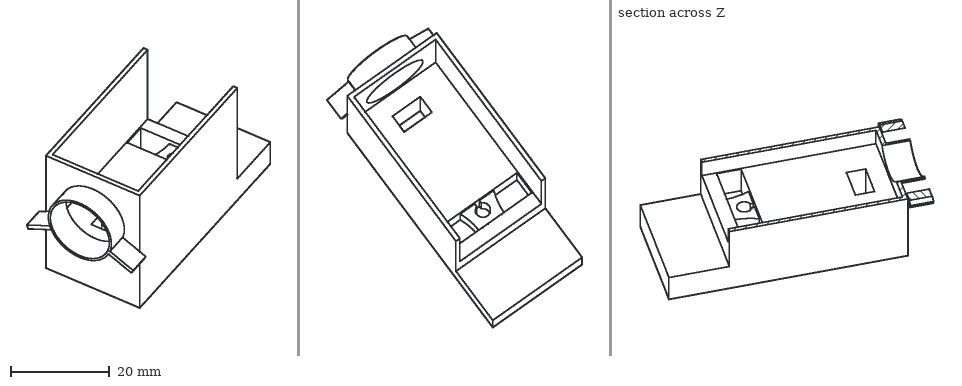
import cadquery as cq
import math

total_length = 55.0
housing_width = 22.35
housing_height = 31.2
collar_length = 4.95
wall_end_y = 42.35
wall = 1.0
shelf_height = 6.05
floor_height = 12.0

bore_diameter = 14.0
collar_diameter = 15.0
bore_z = 19.95
wing_span = 25.35
wing_thickness = 1.0
wing_angle = 25.0
wing_tip_z = 15.1
wing_length = 6.15
wing_gap = 0.1

window_width = 6.95
window_depth = 4.0
window_front_y = 9.9

pocket_width = 19.9
pocket_depth_y = 5.1
pocket_front_y = 34.2
pocket_bottom_z = shelf_height
clip_front_width = 8.35
clip_middle_width = 6.8
clip_back_width = 6.25
clip_hole_diameter = 3.0
clip_hole_offset = 2.05
clip_slot_width = 1.15
clip_drop = 1.0

interior_width = housing_width - 2 * wall
pocket_back_y = pocket_front_y + pocket_depth_y
clip_top_z = floor_height - clip_drop
clip_height = clip_top_z - pocket_bottom_z


def block(width, front_y, back_y, bottom_z, top_z):
    """Box centred on X = 0 between the given Y and Z limits."""
    return cq.Workplane("XY", origin=(0, front_y, bottom_z)).box(
        width, back_y - front_y, top_z - bottom_z, centered=(True, False, False)
    )


def make_wing(side):
    """Flat wing sloping down and outward; side is +1 or -1 along X."""
    angle = math.radians(wing_angle)
    tip_x = wing_span / 2
    root_x = tip_x - wing_length * math.cos(angle)
    root_z = wing_tip_z + wing_length * math.sin(angle)
    drop_x = wing_thickness * math.sin(angle)
    drop_z = wing_thickness * math.cos(angle)
    return (
        cq.Workplane("XZ")
        .moveTo(side * tip_x, wing_tip_z)
        .lineTo(side * root_x, root_z)
        .lineTo(side * (root_x - drop_x), root_z - drop_z)
        .lineTo(side * (tip_x - drop_x), wing_tip_z - drop_z)
        .close()
        .extrude(-(collar_length - wing_gap))
    )


def front_cylinder(diameter, length):
    """Cylinder on the bore axis, running back from Y = 0."""
    return cq.Workplane("XZ", origin=(0, 0, bore_z)).circle(diameter / 2).extrude(-length)


def make_clip():
    """Clip with curved flanks and a round hole opening through a slot to the front."""
    base = cq.Workplane("XY", origin=(0, pocket_front_y, pocket_bottom_z))
    body = (
        base.moveTo(-clip_front_width / 2, 0)
        .lineTo(clip_front_width / 2, 0)
        .threePointArc((clip_middle_width / 2, pocket_depth_y / 2), (clip_back_width / 2, pocket_depth_y))
        .lineTo(-clip_back_width / 2, pocket_depth_y)
        .threePointArc((-clip_middle_width / 2, pocket_depth_y / 2), (-clip_front_width / 2, 0))
        .close()
        .extrude(clip_height)
    )
    hole = base.center(0, clip_hole_offset).circle(clip_hole_diameter / 2).extrude(clip_height)
    slot_back_y = pocket_front_y + clip_hole_offset
    slot = block(clip_slot_width, pocket_front_y, slot_back_y, pocket_bottom_z, clip_top_z)
    return body.cut(hole).cut(slot)


def make_housing():
    """Open-topped housing with a rear shelf, pocket, clip, front collar and its +X wing."""
    inner_front_y = collar_length + wall
    body = block(housing_width, collar_length, wall_end_y, 0, housing_height)
    shelf = block(housing_width, wall_end_y, total_length, 0, shelf_height)
    interior = block(interior_width, inner_front_y, wall_end_y, floor_height, housing_height)
    window_back_y = window_front_y + window_depth
    window = block(window_width, window_front_y, window_back_y, 0, floor_height)
    pocket = block(pocket_width, pocket_front_y, pocket_back_y, pocket_bottom_z, floor_height)

    body = body.union(shelf).cut(interior).cut(window).cut(pocket)
    body = body.union(make_clip())
    body = body.union(front_cylinder(collar_diameter, collar_length))
    body = body.union(make_wing(1))
    return body.cut(front_cylinder(bore_diameter, inner_front_y))


def make_loose_wing():
    """Separate -X wing, its root shaped to rest against the outside of the collar."""
    return make_wing(-1).cut(front_cylinder(collar_diameter, collar_length))


housing = make_housing()
loose_wing = make_loose_wing()
result = cq.Compound.makeCompound([housing.val(), loose_wing.val()])